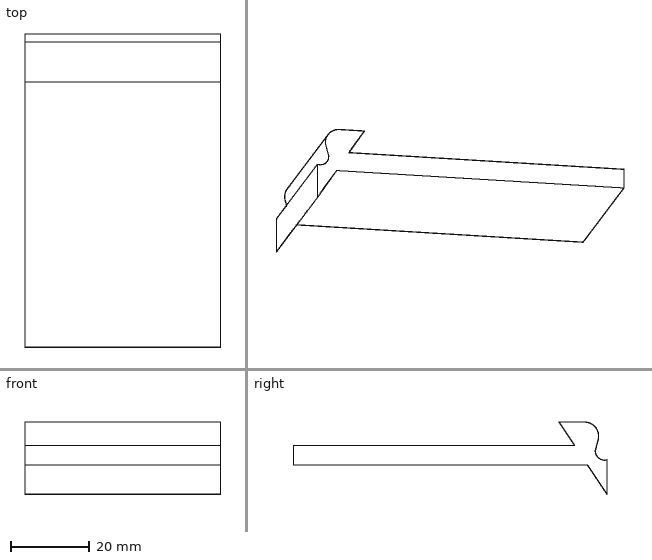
import cadquery as cq
import math

width = 50.0
plate_length = 75.0
plate_thickness = 5.0

lip_height = 6.0
toe_depth = 7.52
toe_length = 5.02
lip_root_from_back = 8.3
undercut_slope = toe_depth / toe_length
lip_overhang = lip_height / undercut_slope

bead_radius = 3.65
bead_center_from_back = 5.76
neck_lean = math.radians(15)
neck_length = 2.8
toe_back_height = 8.87
cove_bulge = 0.95

toe_tip_z = -toe_depth
lip_top_z = plate_thickness + lip_height
toe_top_z = toe_tip_z + toe_back_height

back_y = plate_length + toe_length
lip_root_y = back_y - lip_root_from_back
bead_y = back_y - bead_center_from_back
bead_z = lip_top_z - bead_radius


def bead_point(angle):
    """Point on the bead, with the angle measured upward from +Y."""
    return (bead_y + bead_radius * math.cos(angle), bead_z + bead_radius * math.sin(angle))


def make_profile():
    """Closed YZ section of the plate with its hooked back edge."""
    bead_end = bead_point(-neck_lean)
    bead_middle = bead_point((math.pi / 2 - neck_lean) / 2)
    neck_end = (
        bead_end[0] - neck_length * math.sin(neck_lean),
        bead_end[1] - neck_length * math.cos(neck_lean),
    )
    toe_corner = (back_y, toe_top_z)
    return (
        cq.Workplane("YZ")
        .moveTo(0, 0)
        .lineTo(0, plate_thickness)
        .lineTo(lip_root_y, plate_thickness)
        .lineTo(lip_root_y - lip_overhang, lip_top_z)
        .lineTo(bead_y, lip_top_z)
        .threePointArc(bead_middle, bead_end)
        .lineTo(*neck_end)
        .sagittaArc(toe_corner, -cove_bulge)
        .lineTo(back_y, toe_tip_z)
        .lineTo(plate_length, 0)
        .close()
    )


result = make_profile().extrude(width)